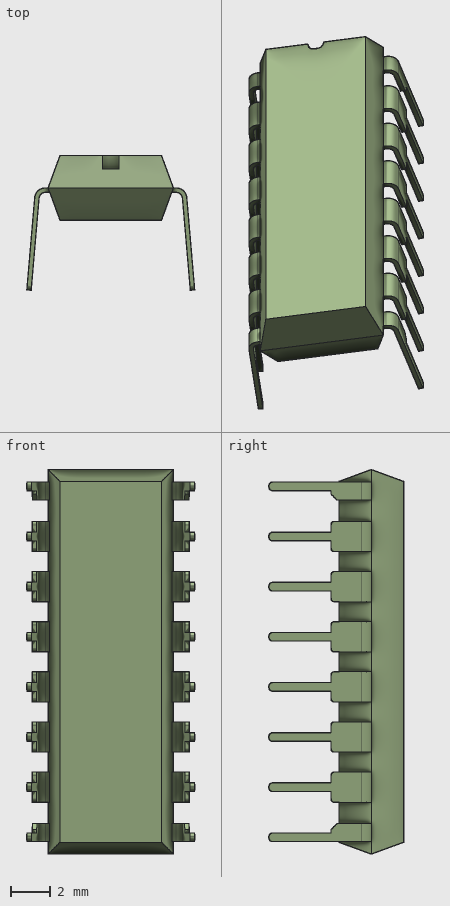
import cadquery as cq
import math


body_length = 19.5
body_width = 6.35
body_height = 3.3
taper_inset = 0.6
half_height = body_height / 2

notch_diameter = 0.82
notch_depth = 0.68

lead_count = 8
pin_row_length = 17.78
lead_thickness = 0.23
bend_radius = 0.55
splay_angle = 4.9
embed_length = 0.2
shoulder_width = 1.55
inner_half_width = 0.7
pin_width = 0.45
lead_span = 8.52
shoulder_drop = 2.03
overall_height = 6.85
shoulder_round = 0.18
end_shoulder_chamfer = 0.31
tip_round = 0.2

splay = math.radians(splay_angle)
tip_drop = overall_height - half_height - lead_thickness * math.sin(splay)
lead_normal = (math.cos(splay), math.sin(splay))
leg_direction = (math.sin(splay), -math.cos(splay))

bend_y = -bend_radius
bend_end_y = bend_y + bend_radius * lead_normal[1]
bend_end_x = lead_span / 2 - (bend_end_y + tip_drop) * math.tan(splay)
bend_x = bend_end_x - bend_radius * lead_normal[0]


def body_half(height):
    """Tapered half body from the parting plane; a negative height goes towards -Y."""
    small_width = body_width - 2 * taper_inset
    small_length = body_length - 2 * taper_inset
    return (
        cq.Workplane("XZ")
        .rect(body_width, body_length)
        .workplane(offset=-height)
        .rect(small_width, small_length)
        .loft(ruled=True)
    )


def notch():
    """Flat-bottomed U-shaped cut in the upper face, open towards the +Z end."""
    edge_z = body_length / 2 - taper_inset
    round_end = (
        cq.Workplane("XZ", origin=(0, half_height, edge_z))
        .circle(notch_diameter / 2)
        .extrude(notch_depth)
    )
    mouth = (
        cq.Workplane("XZ", origin=(0, half_height, edge_z + taper_inset / 2))
        .rect(notch_diameter, taper_inset)
        .extrude(notch_depth)
    )
    return round_end.union(mouth)


def bend_point(radius, angle):
    """Point on the bend, with the angle measured from +X."""
    return (bend_x + radius * math.cos(angle), bend_y + radius * math.sin(angle))


def lead_bend(z_low, z_high):
    """Strip that leaves the +X side of the body and turns down to the leg."""
    inner_radius = bend_radius - lead_thickness
    middle_angle = (math.pi / 2 + splay) / 2
    start_x = body_width / 2 - taper_inset / 2 - embed_length
    return (
        cq.Workplane("XY", origin=(0, 0, z_low))
        .moveTo(start_x, 0)
        .lineTo(bend_x, 0)
        .threePointArc(bend_point(bend_radius, middle_angle), bend_point(bend_radius, splay))
        .lineTo(*bend_point(inner_radius, splay))
        .threePointArc(bend_point(inner_radius, middle_angle), (bend_x, -lead_thickness))
        .lineTo(start_x, -lead_thickness)
        .close()
        .extrude(z_high - z_low)
    )


def free_corners(strip):
    """Edges across the sheet thickness at the free end of a flat strip of the leg."""
    end_selector = cq.selectors.DirectionMinMaxSelector(cq.Vector(*leg_direction, 0), True)
    thickness_selector = cq.selectors.ParallelDirSelector(cq.Vector(*lead_normal, 0))
    return strip.faces(end_selector).edges(thickness_selector)


def lead_leg(pin_z, z_low, z_high):
    """Wide shoulder and narrow round-tipped pin that together form the splayed flat leg."""
    plane = cq.Plane(
        origin=(bend_end_x, bend_end_y, 0),
        xDir=(0, 0, 1),
        normal=(lead_normal[0], lead_normal[1], 0),
    )
    shoulder_length = (bend_end_y + shoulder_drop) / math.cos(splay)
    leg_length = (bend_end_y + tip_drop) / math.cos(splay)

    shoulder = (
        cq.Workplane(plane)
        .center((z_low + z_high) / 2, shoulder_length / 2)
        .rect(z_high - z_low, shoulder_length)
        .extrude(-lead_thickness)
    )
    pin = (
        cq.Workplane(plane)
        .center(pin_z, leg_length / 2)
        .rect(pin_width, leg_length)
        .extrude(-lead_thickness)
    )
    return shoulder, free_corners(pin).fillet(tip_round)


def inner_lead(pin_z):
    """Lead with its pin centred on a full-width shoulder."""
    z_low = pin_z - shoulder_width / 2
    z_high = pin_z + shoulder_width / 2
    shoulder, pin = lead_leg(pin_z, z_low, z_high)
    shoulder = free_corners(shoulder).fillet(shoulder_round)
    return lead_bend(z_low, z_high).union(shoulder).union(pin)


def end_lead(pin_z):
    """Topmost lead: a half shoulder that is flush with the outer edge of the pin."""
    z_low = pin_z - inner_half_width
    z_high = pin_z + pin_width / 2
    shoulder, pin = lead_leg(pin_z, z_low, z_high)
    shoulder = free_corners(shoulder).edges("<Z").chamfer(end_shoulder_chamfer)
    return lead_bend(z_low, z_high).union(shoulder).union(pin)


quarter_count = lead_count // 2
top_z = pin_row_length / 2
lead_pitch = pin_row_length / (lead_count - 1)
quarter_leads = [end_lead(top_z)]
for row in range(1, quarter_count):
    quarter_leads.append(inner_lead(top_z - row * lead_pitch))

result = body_half(half_height).union(body_half(-half_height)).cut(notch())
for lead in quarter_leads:
    lead_pair = lead.union(lead.mirror("XY"))
    result = result.union(lead_pair).union(lead_pair.mirror("YZ"))